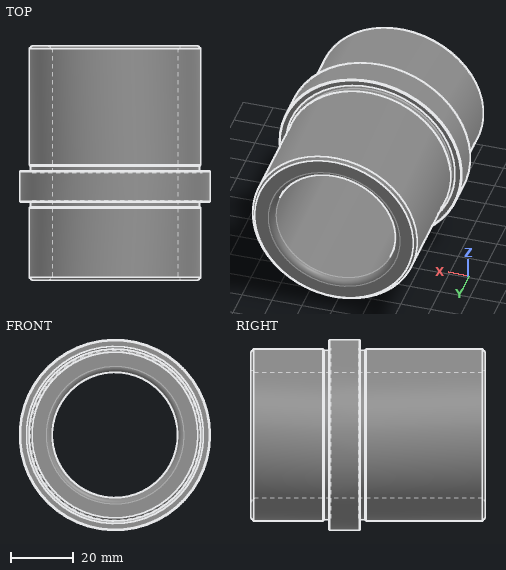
import cadquery as cq
import math

length = 75.0
body_radius = 27.5
bore_radius = 20.0
end_chamfer = 1.0
bore_rounding = 2.0

collar_radius = 30.5
collar_front = 25.0
collar_back = 35.0
collar_edge_chamfer = 0.3

groove_width = 2.0
groove_depth = 0.4
groove_run_in = 0.5
groove_corner_radius = 0.4
flank_angle = math.radians(45)
flank_height = 1.2


def make_bush_blank():
    """Plain tube with chamfered outer ends and rounded bore mouths."""
    tube = (
        cq.Workplane("XZ")
        .circle(body_radius)
        .circle(bore_radius)
        .extrude(-length)
    )
    tube = tube.faces("<Y or >Y").edges(cq.selectors.RadiusNthSelector(1)).chamfer(end_chamfer)
    return tube.faces("<Y or >Y").edges(cq.selectors.RadiusNthSelector(0)).fillet(bore_rounding)


def make_collar():
    """Ring with broken outer edges, merged into the tube wall."""
    inner_radius = (bore_radius + body_radius) / 2
    ring = (
        cq.Workplane("XZ", origin=(0, collar_front, 0))
        .circle(collar_radius)
        .circle(inner_radius)
        .extrude(collar_front - collar_back)
    )
    return ring.faces("<Y or >Y").edges(cq.selectors.RadiusNthSelector(1)).chamfer(collar_edge_chamfer)


def make_relief_groove(face_y, away):
    """Ring to cut beside a collar face; away is the Y direction pointing off the face (+1 or -1)."""
    floor_radius = body_radius - groove_depth
    flank_radius = floor_radius + flank_height
    outer_end_y = face_y + away * groove_width
    floor_start_y = outer_end_y - away * groove_run_in

    corner_y = face_y - away * flank_height / math.tan(flank_angle)
    tangent_length = groove_corner_radius / math.tan(flank_angle / 2)
    floor_end_y = corner_y + away * tangent_length
    arc_center_radius = floor_radius + groove_corner_radius
    flank_start = (
        floor_radius + tangent_length * math.sin(flank_angle),
        corner_y + away * tangent_length * math.cos(flank_angle),
    )
    arc_deepest = (arc_center_radius, floor_end_y - away * groove_corner_radius)

    return (
        cq.Workplane("XY")
        .moveTo(flank_radius, outer_end_y)
        .lineTo(body_radius, outer_end_y)
        .lineTo(floor_radius, floor_start_y)
        .lineTo(floor_radius, floor_end_y)
        .threePointArc(arc_deepest, flank_start)
        .lineTo(flank_radius, face_y)
        .close()
        .revolve(360, (0, 0, 0), (0, 1, 0))
    )


result = make_bush_blank().union(make_collar())
for face_y, away in ((collar_front, -1), (collar_back, 1)):
    result = result.cut(make_relief_groove(face_y, away))